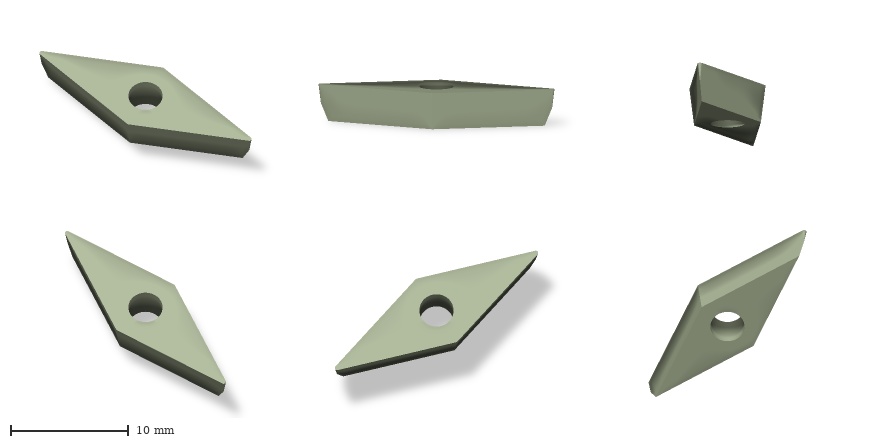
import cadquery as cq
import math

inscribed_circle = 6.35
thickness = 3.18
acute_angle = math.radians(35)
clearance_angle = 7
nose_radius = 0.2
hole_diameter = 2.9

side_length = inscribed_circle / math.sin(acute_angle)
half_width = inscribed_circle / 2
half_length = side_length * (1 + math.cos(acute_angle)) / 2
obtuse_x = side_length - half_length

cone_depth = nose_radius / math.tan(math.radians(clearance_angle))


def tapered_rhombus():
    """Sharp-cornered body with its large face on top, at z = thickness."""
    return (
        cq.Workplane("XY")
        .workplane(offset=thickness)
        .polyline(
            [
                (-half_length, -half_width),
                (obtuse_x, -half_width),
                (half_length, half_width),
                (-obtuse_x, half_width),
            ]
        )
        .close()
        .extrude(-thickness, taper=clearance_angle)
    )


def corner_waste(corner_x, corner_angle, diagonal_angle):
    """Material outside the cone that rounds one of the corners on the -Y side.

    It is built with the corner at the origin and the corner's diagonal along +X, then moved into place.
    """
    half_angle = corner_angle / 2
    center_distance = nose_radius / math.sin(half_angle)
    tangent_length = nose_radius / math.tan(half_angle)
    tangent_x = tangent_length * math.cos(half_angle)
    tangent_y = tangent_length * math.sin(half_angle)
    kite = (
        cq.Workplane("XY")
        .workplane(offset=thickness)
        .polyline([(0, 0), (tangent_x, -tangent_y), (center_distance, 0), (tangent_x, tangent_y)])
        .close()
        .extrude(-cone_depth)
    )

    sector_angle = 180 - math.degrees(corner_angle)
    down = cq.Vector(0, 0, -1)
    sector = cq.Solid.makeCone(nose_radius, 0, cone_depth, cq.Vector(0, 0, 0), down, sector_angle)
    cone = (
        cq.Workplane(sector)
        .rotate((0, 0, 0), (0, 0, 1), sector_angle / 2)
        .translate((center_distance, 0, thickness))
    )
    return (
        kite.cut(cone)
        .rotate((0, 0, 0), (0, 0, 1), math.degrees(diagonal_angle))
        .translate((corner_x, -half_width, 0))
    )


def round_corners(body):
    """Round the acute and obtuse corners; the insert repeats after half a turn about Z."""
    obtuse_angle = math.pi - acute_angle
    acute_waste = corner_waste(-half_length, acute_angle, acute_angle / 2)
    obtuse_waste = corner_waste(obtuse_x, obtuse_angle, math.pi - obtuse_angle / 2)
    for waste in (acute_waste, obtuse_waste):
        body = body.cut(waste).cut(waste.rotate((0, 0, 0), (0, 0, 1), 180))
    return body


def clamping_hole():
    return cq.Workplane("XY").circle(hole_diameter / 2).extrude(thickness)


result = round_corners(tapered_rhombus()).cut(clamping_hole())